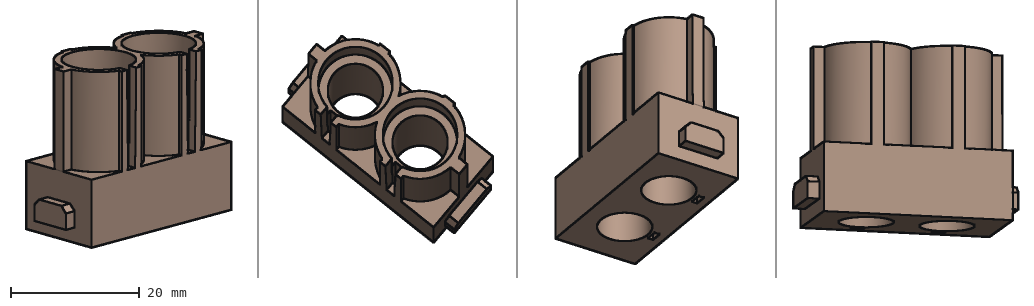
import cadquery as cq

width = 14.6
length = 30.35
base_height = 11.0
total_height = 27.2
tower_spacing = 13.0
tower_radius = 7.02

bore_radius = 4.3
socket_radius = 5.8
socket_depth = 5.4
draft_angle = 0.5

rib_width = 2.0
front_rib_lean = 0.07
slot_wall_width = 4.25
slot_wall_start = 5.45
slot_width = 2.0
slot_floor_width = 1.55
keyway_width = 1.98
keyway_inner_x = 4.88

overall_length = 34.1
lug_depth = (overall_length - length) / 2
front_lug_width = 7.0
rear_lug_width = 9.05
lug_height = 3.68
lug_bottom = 2.5
lug_chamfer = 1.02

tower_centers = (-tower_spacing / 2, tower_spacing / 2)


def block(x_range, y_range, z_range):
    """Box given by its lower and upper limits along each axis."""
    sizes = [high - low for low, high in (x_range, y_range, z_range)]
    corner = (x_range[0], y_range[0], z_range[0])
    return cq.Workplane("XY").box(*sizes, centered=False).translate(corner)


def cylinder(radius, y_center, bottom, top):
    """Upright cylinder on the long centerline."""
    return cq.Workplane("XY", origin=(0, y_center, bottom)).circle(radius).extrude(top - bottom)


def centered(size, middle=0.0):
    return (middle - size / 2, middle + size / 2)


def tower(y):
    """Round tower with a narrow rib on -X and a wide slot wall on +X."""
    z_range = (base_height, total_height)
    body = cylinder(tower_radius, y, *z_range)
    side_rib = block((-width / 2, 0), centered(rib_width, y), z_range)
    slot_wall = block((slot_wall_start, width / 2), centered(slot_wall_width, y), z_range)
    return body.union(side_rib).union(slot_wall)


def tower_cut(y):
    """Stepped bore, wall slot and the keyway running down through the base."""
    bore = cylinder(bore_radius, y, 0, total_height)
    socket = (
        cq.Workplane("XY", origin=(0, y, total_height))
        .circle(socket_radius)
        .extrude(-socket_depth, taper=draft_angle)
    )
    keyway = block((keyway_inner_x, socket_radius), centered(keyway_width, y), (0, total_height))
    wall_slot = (
        cq.Workplane("YZ", origin=(socket_radius, 0, 0))
        .polyline([
            (y - slot_width / 2, total_height),
            (y + slot_width / 2, total_height),
            (y + slot_floor_width / 2, base_height),
            (y - slot_floor_width / 2, base_height),
        ])
        .close()
        .extrude(width / 2 - socket_radius)
    )
    return bore.union(socket).union(wall_slot).union(keyway)


def lug(lug_width, y_start):
    """Lug with both upper edges chamfered."""
    return (
        block(centered(lug_width), (y_start, y_start + lug_depth), (lug_bottom, lug_bottom + lug_height))
        .edges("|Y and >Z")
        .chamfer(lug_chamfer)
    )


result = block(centered(width), centered(length), (0, base_height))

for y_center in tower_centers:
    result = result.union(tower(y_center))
end_ribs = (
    cq.Workplane("YZ", origin=(-rib_width / 2, 0, 0))
    .polyline([
        (-length / 2, base_height),
        (length / 2, base_height),
        (length / 2, total_height),
        (-length / 2 + front_rib_lean, total_height),
    ])
    .close()
    .extrude(rib_width)
)
result = result.union(end_ribs)

for y_center in tower_centers:
    result = result.cut(tower_cut(y_center))

result = result.union(lug(front_lug_width, -overall_length / 2))
result = result.union(lug(rear_lug_width, length / 2))